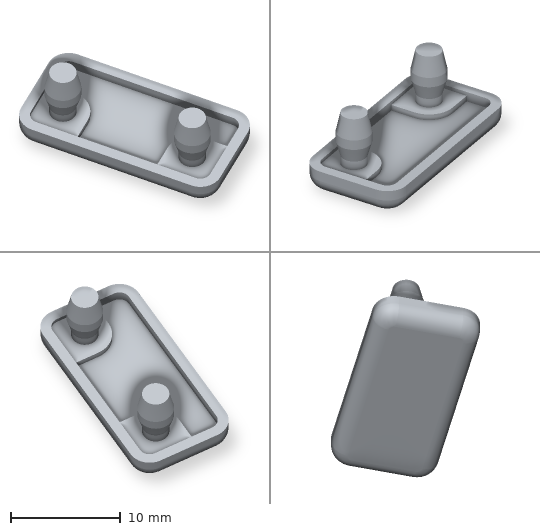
import cadquery as cq

length = 20.0
width = 10.0
tray_height = 2.5
corner_radius = 2.0
bottom_fillet = 1.5
rim_width = 1.0
pocket_depth = 1.0
pocket_corner_radius = corner_radius - rim_width

pad_side = 5.0
pad_radius = pad_side / 2
pad_drop = 0.4

neck_diameter = 2.5
neck_radius = neck_diameter / 2
belly_radius = 1.68
neck_top = 0.5
belly_bottom = 2.0
belly_top = 3.0
peg_top = 5.0

pocket_length = length - 2 * rim_width
pocket_width = width - 2 * rim_width
pocket_floor = tray_height - pocket_depth
pad_top = tray_height - pad_drop
peg_x = pocket_length / 2 - pad_radius
peg_y = -pocket_width / 2 + pad_radius


def rounded_block(size_x, size_y, bottom, top, radius):
    """Centred block with rounded vertical edges."""
    block = cq.Workplane("XY").workplane(offset=bottom).rect(size_x, size_y).extrude(top - bottom)
    return block.edges("|Z").fillet(radius)


def make_tray():
    body = rounded_block(length, width, 0, tray_height, corner_radius)
    return body.faces("<Z").edges().fillet(bottom_fillet)


def make_pad(side):
    """Corner pad, rounded on its inward corner; side is -1 or +1 along X."""
    pad = (
        cq.Workplane("XY")
        .workplane(offset=pocket_floor)
        .center(side * peg_x, peg_y)
        .rect(pad_side, pad_side)
        .extrude(pad_top - pocket_floor)
    )
    inward = "<X" if side > 0 else ">X"
    return pad.edges(f"|Z and {inward} and >Y").fillet(pad_radius)


def make_peg(side):
    """Barrel-shaped peg revolved about its own vertical axis."""
    return (
        cq.Workplane("XZ")
        .moveTo(0, pad_top)
        .lineTo(neck_radius, pad_top)
        .lineTo(neck_radius, tray_height + neck_top)
        .lineTo(belly_radius, tray_height + belly_bottom)
        .lineTo(belly_radius, tray_height + belly_top)
        .lineTo(neck_radius, tray_height + peg_top)
        .lineTo(0, tray_height + peg_top)
        .close()
        .revolve(360, (0, 0, 0), (0, 1, 0))
        .translate((side * peg_x, peg_y, 0))
    )


pocket = rounded_block(pocket_length, pocket_width, pocket_floor, tray_height, pocket_corner_radius)
for side in (-1, 1):
    pocket = pocket.cut(make_pad(side))

result = make_tray().cut(pocket)
for side in (-1, 1):
    result = result.union(make_peg(side))